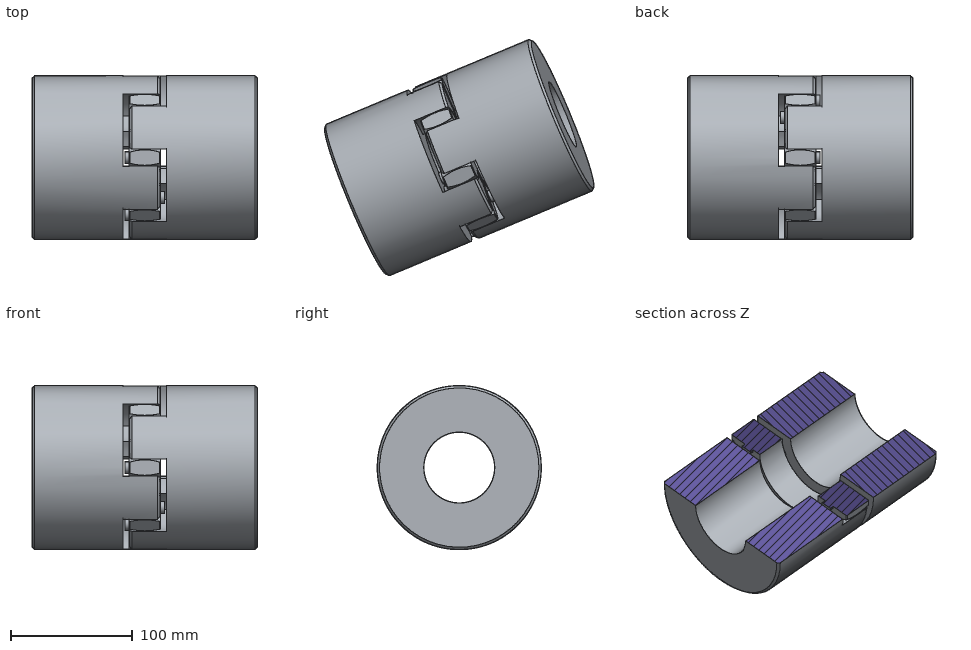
import cadquery as cq
import math


coupling_length = 185.0
hub_radius = 67.5
bore_radius = 29.0
hub_gap = 35.5
rim_chamfer = 2.0

jaws_per_hub = 4
jaw_length = 30.2
jaw_inner_radius = 40.5
jaw_chamfer = 2.0

rim_half_width = 7.0
root_half_width = 9.0
jaw_flank_radius = 33.7

spider_width = 26.0
leg_tip_radius = 67.2
spider_hole_radius = 34.0
tip_chamfer = 0.7
leg_flank_radius = 29.5
leg_crown = 1.7

stud_radius = 5.0
stud_height = 3.3
stud_pitch_radius = 46.6

leg_count = 2 * jaws_per_hub
leg_pitch = 360.0 / leg_count
jaw_pitch = 360.0 / jaws_per_hub
floor_x = hub_gap / 2
jaw_end_x = floor_x - jaw_length
spider_end_x = spider_width / 2

rim_point = (math.sqrt(hub_radius**2 - rim_half_width**2), rim_half_width)
root_point = (math.sqrt(jaw_inner_radius**2 - root_half_width**2), root_half_width)
chord_radial = rim_point[0] - root_point[0]
chord_side = rim_point[1] - root_point[1]
chord = math.hypot(chord_radial, chord_side)
centre_distance = math.sqrt(jaw_flank_radius**2 - (chord / 2) ** 2)
jaw_flank_radial = (rim_point[0] + root_point[0]) / 2 + centre_distance * chord_side / chord
jaw_flank_side = (rim_point[1] + root_point[1]) / 2 - centre_distance * chord_radial / chord

leg_flank_side = jaw_flank_side + jaw_flank_radius - leg_flank_radius


def x_cylinder(radius, start_x, end_x, y=0.0, z=0.0):
    """Cylinder along X between two stations."""
    return (
        cq.Workplane("YZ", origin=(start_x, 0, 0))
        .center(y, z)
        .circle(radius)
        .extrude(end_x - start_x)
    )


def turn(body, angle):
    """Rotate a body about the X axis."""
    return body.rotate((0, 0, 0), (1, 0, 0), angle)


def make_jaw_blank():
    """Turned ring from the hub face to the jaw ends, chamfered at the outer end edge."""
    return (
        x_cylinder(hub_radius, jaw_end_x, floor_x)
        .faces("<X")
        .edges()
        .chamfer(jaw_chamfer)
        .cut(x_cylinder(jaw_inner_radius, jaw_end_x, floor_x))
    )


def make_leg_space(angle):
    """Straight lens-shaped space around the leg at the given angle."""
    upper = x_cylinder(jaw_flank_radius, jaw_end_x, floor_x, jaw_flank_radial, jaw_flank_side)
    lower = x_cylinder(jaw_flank_radius, jaw_end_x, floor_x, jaw_flank_radial, -jaw_flank_side)
    return turn(upper.intersect(lower), angle)


def make_sector(start_angle):
    """Wedge over one leg pitch, reaching beyond the hub."""
    reach = 2 * hub_radius
    end_angle = start_angle + leg_pitch
    corners = [
        (reach * math.cos(math.radians(angle)), reach * math.sin(math.radians(angle)))
        for angle in (start_angle, end_angle)
    ]
    return (
        cq.Workplane("YZ", origin=(jaw_end_x, 0, 0))
        .polyline([(0, 0)] + corners)
        .close()
        .extrude(jaw_length)
    )


def make_hub():
    """Hub on the +X side, with its jaws pointing to -X."""
    hub = x_cylinder(hub_radius, floor_x, coupling_length / 2).faces(">X").edges().chamfer(rim_chamfer)
    hub = hub.cut(x_cylinder(bore_radius, floor_x, coupling_length / 2))
    blank = make_jaw_blank()
    for index in range(jaws_per_hub):
        start_angle = leg_pitch + index * jaw_pitch
        jaw = blank.intersect(make_sector(start_angle))
        jaw = jaw.cut(make_leg_space(start_angle))
        jaw = jaw.cut(make_leg_space(start_angle + leg_pitch))
        hub = hub.union(jaw)
    return hub


def make_barrel(centre_side):
    """Barrel along X that bulges to the leg flank radius at mid length."""
    end_radius = leg_flank_radius - leg_crown
    return (
        cq.Workplane("XZ")
        .moveTo(-spider_end_x, 0)
        .lineTo(-spider_end_x, end_radius)
        .threePointArc((0, leg_flank_radius), (spider_end_x, end_radius))
        .lineTo(spider_end_x, 0)
        .close()
        .revolve(360, (0, 0), (1, 0))
        .translate((0, jaw_flank_radial, centre_side))
    )


def make_leg():
    """Crowned leg along +Y: the common part of two barrels, flat at the tip with chamfered ends."""
    lens = make_barrel(leg_flank_side).intersect(make_barrel(-leg_flank_side))
    tip_block = (
        cq.Workplane("XY")
        .box(spider_width, leg_tip_radius, 2 * hub_radius, centered=(True, False, True))
        .faces(">Y")
        .edges("|Z")
        .chamfer(tip_chamfer)
    )
    return lens.intersect(tip_block)


def make_spider():
    """Ring with crowned legs; the studs alternate between the two end faces."""
    spider = x_cylinder(jaw_inner_radius, -spider_end_x, spider_end_x)
    leg = make_leg()
    left_stud = x_cylinder(stud_radius, -spider_end_x - stud_height, 0, stud_pitch_radius)
    right_stud = x_cylinder(stud_radius, 0, spider_end_x + stud_height, stud_pitch_radius)
    for index in range(leg_count):
        angle = index * leg_pitch
        is_even_leg = index % 2 == 0
        stud = left_stud if is_even_leg else right_stud
        spider = spider.union(turn(leg, angle)).union(turn(stud, angle))
    return spider.cut(x_cylinder(spider_hole_radius, -spider_end_x, spider_end_x))


right_hub = make_hub()
left_hub = right_hub.rotate((0, 0, 0), (0, 0, 1), 180)
spider = make_spider()

bodies = [left_hub, right_hub, spider]
result = cq.Compound.makeCompound([body.solids().val() for body in bodies])